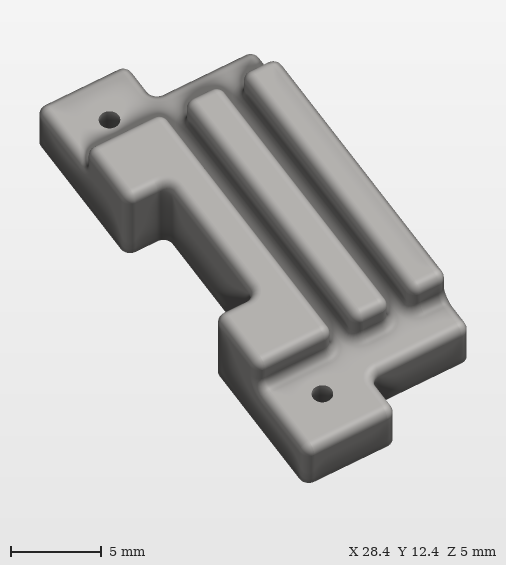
import cadquery as cq

length = 28.4
depth = 12.4
height = 5.0

base_height = 3.0
ear_depth = 5.9
body_length = 22.8

rib_length = 18.0
rib_width = 2.39
groove_width = 1.3
block_depth = depth - 2 * (rib_width + groove_width)

notch_length = 9.2
notch_depth = 2.6

hole_diameter = 1.2
hole_spacing = 22.4

edge_radius = 0.6

front_y = -depth / 2
back_y = depth / 2


def bar(size_x, y_start, y_end, z_start, z_end):
    """Box centred on X between the given Y and Z limits."""
    return (
        cq.Workplane("XY")
        .box(size_x, y_end - y_start, z_end - z_start, centered=(True, False, False))
        .translate((0, y_start, z_start))
    )


part = bar(length, front_y, front_y + ear_depth, 0, base_height)
part = part.union(bar(body_length, front_y, back_y, 0, base_height))

middle_rib_y = front_y + block_depth + groove_width
raised_spans = [
    (front_y, front_y + block_depth),
    (middle_rib_y, middle_rib_y + rib_width),
    (back_y - rib_width, back_y),
]
for y_start, y_end in raised_spans:
    part = part.union(bar(rib_length, y_start, y_end, 0, height))

part = part.cut(bar(notch_length, front_y, front_y + notch_depth, 0, height))

part = part.edges("not(<Z)").fillet(edge_radius)

result = (
    part.faces("<Z")
    .workplane(origin=(0, front_y + ear_depth / 2, 0))
    .rarray(hole_spacing, 0.28, 2, 1)
    .hole(hole_diameter)
)